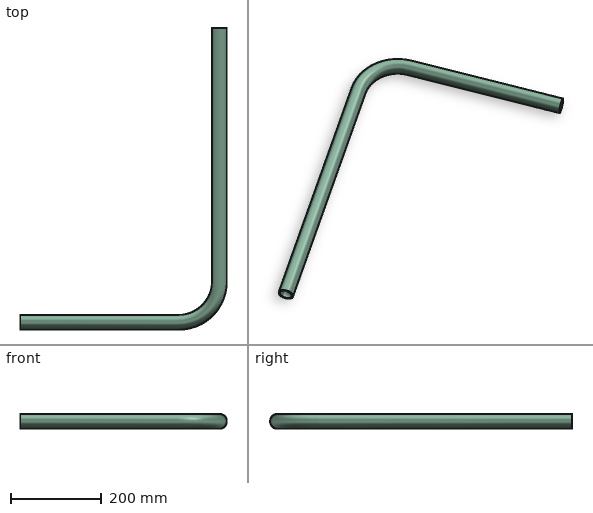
import cadquery as cq

outer_diameter = 33.4
wall_thickness = 3.38
inner_diameter = outer_diameter - 2 * wall_thickness

corner_x = 440.0
corner_y = 650.0
bend_radius = 90.0
bend_angle = 90.0
x_leg_length = corner_x - bend_radius
y_leg_length = corner_y - bend_radius


def pipe_section(plane):
    """Ring-shaped cross-section of the pipe, centred on the given plane."""
    return cq.Workplane(plane).circle(outer_diameter / 2).circle(inner_diameter / 2)


def make_x_leg():
    """Straight leg that starts at the origin and runs along +X."""
    return pipe_section("YZ").extrude(x_leg_length)


def make_bend():
    """Quarter bend that turns the pipe from +X to +Y."""
    start = cq.Plane(origin=(x_leg_length, 0, 0), xDir=(0, 1, 0), normal=(1, 0, 0))
    return pipe_section(start).revolve(bend_angle, (bend_radius, 0), (bend_radius, 1))


def make_y_leg():
    """Straight leg that leaves the bend and runs along +Y."""
    start = cq.Plane(origin=(corner_x, bend_radius, 0), xDir=(1, 0, 0), normal=(0, 1, 0))
    return pipe_section(start).extrude(y_leg_length)


result = make_x_leg().union(make_bend()).union(make_y_leg())